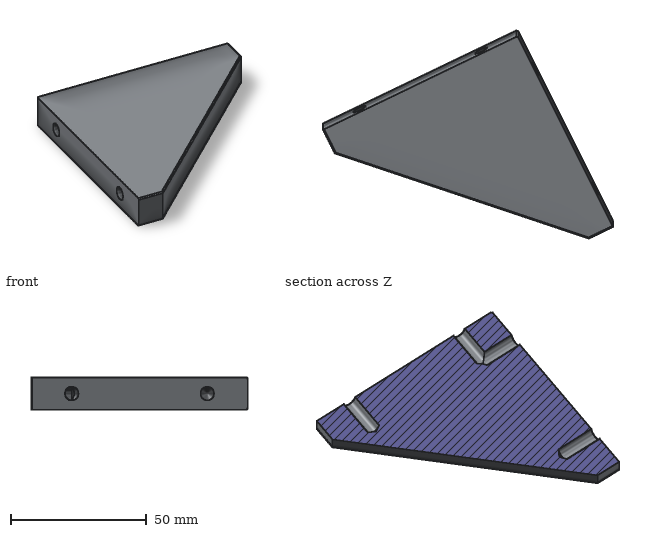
import cadquery as cq
import math

LEG = 80.0
THICKNESS = 12.0
TIP_WIDTH = 10.0
EDGE_CHAMFER = 0.5

NEAR_OFFSET = 15.0
FAR_OFFSET = 65.0
HOLE_DIAMETER = 5.0

HOLE_DEPTH = NEAR_OFFSET
DRILL_POINT_ANGLE = 118.0
DRILL_POINT_LENGTH = HOLE_DIAMETER / 2 / math.tan(math.radians(DRILL_POINT_ANGLE / 2))


def make_plate():
    """Plate chamfered around the tips and sloping side, and down the square corner."""
    plate = (
        cq.Workplane("XY")
        .polyline([(0, 0), (LEG, 0), (LEG, TIP_WIDTH), (TIP_WIDTH, LEG), (0, LEG)])
        .close()
        .extrude(THICKNESS)
    )
    plate = plate.faces(">X or >Y or >(1, 1, 0)").edges("#Z").chamfer(EDGE_CHAMFER)
    return plate.edges(cq.NearestToPointSelector((0, 0, THICKNESS / 2))).chamfer(EDGE_CHAMFER)


def make_hole(offset):
    """Cutter for a blind drilled hole into the -Y side, ending in a drill point."""
    radius = HOLE_DIAMETER / 2
    half_profile = [
        (0, 0),
        (radius, 0),
        (radius, HOLE_DEPTH),
        (0, HOLE_DEPTH + DRILL_POINT_LENGTH),
    ]
    cutter = cq.Workplane("XY").polyline(half_profile).close().revolve(360, (0, 0), (0, 1))
    return cutter.translate((offset, 0, THICKNESS / 2))


def cut_holes(plate):
    """The same pair of holes in each of the two square legs."""
    for offset in (NEAR_OFFSET, FAR_OFFSET):
        hole = make_hole(offset)
        twin = hole.mirror("YZ").rotate((0, 0, 0), (0, 0, 1), -90)
        plate = plate.cut(hole).cut(twin)
    return plate


result = cut_holes(make_plate())